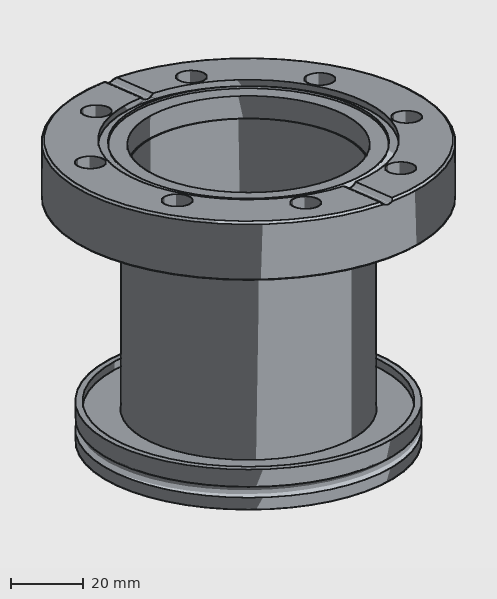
import cadquery as cq
import math

TOTAL_HEIGHT = 90.0
TUBE_OUTER_R = 70.0 / 2
TUBE_INNER_R = 66.0 / 2
SOCKET_R = 70.3 / 2

BOLT_FLANGE_R = 113.5 / 2
BOLT_FLANGE_THICKNESS = 17.5
BOLT_FLANGE_BORE_R = 66.5 / 2
TOP_CHAMFER = 0.7
BOTTOM_CHAMFER = 0.3
RECESS_R = 82.5 / 2
KNIFE_R = 77.2 / 2
KNIFE_DEPTH = 0.8
KNIFE_ANGLE = 22
SEAT_R = 76.8 / 2
SEAT_DEPTH = 1.4
LEDGE_THICKNESS = 6.7
BOLT_COUNT = 8
BOLT_CIRCLE_R = 92.2 / 2
BOLT_HOLE_D = 8.5
LEAK_GROOVE_WIDTH = 4.3
LEAK_GROOVE_DEPTH = 1.1

CLAMP_FLANGE_R = 95.0 / 2
CLAMP_FLANGE_THICKNESS = 12.0
CLAMP_RECESS_R = 91.0 / 2
CLAMP_RECESS_DEPTH = 2.5
CLAMP_GROOVE_Z = 5.2
CLAMP_GROOVE_R = 1.6

BOLT_FLANGE_BOTTOM = TOTAL_HEIGHT - BOLT_FLANGE_THICKNESS
SEAT_Z = TOTAL_HEIGHT - SEAT_DEPTH
KNIFE_Z = TOTAL_HEIGHT - KNIFE_DEPTH
RECESS_Z = KNIFE_Z - (RECESS_R - KNIFE_R) * math.tan(math.radians(KNIFE_ANGLE))
TUBE_TOP = SEAT_Z - LEDGE_THICKNESS


def revolve_profile(profile):
    """Turn a closed radius-height outline on the XZ plane about the Z axis."""
    return profile.close().revolve(360, (0, 0, 0), (0, 1, 0))


def bolt_holes():
    return (
        cq.Workplane("XY")
        .workplane(offset=BOLT_FLANGE_BOTTOM)
        .polarArray(BOLT_CIRCLE_R, 180 / BOLT_COUNT, 360, BOLT_COUNT)
        .circle(BOLT_HOLE_D / 2)
        .extrude(BOLT_FLANGE_THICKNESS)
    )


def leak_grooves():
    """Round-bottomed channel along X, cut across both sides of the top face."""
    arc_r = (LEAK_GROOVE_WIDTH ** 2 / 4 + LEAK_GROOVE_DEPTH ** 2) / (2 * LEAK_GROOVE_DEPTH)
    axis_z = TOTAL_HEIGHT - LEAK_GROOVE_DEPTH + arc_r
    channel = (
        cq.Workplane("YZ")
        .center(0, axis_z)
        .circle(arc_r)
        .extrude(BOLT_FLANGE_R, both=True)
    )
    recess_zone = cq.Workplane("XY").circle(RECESS_R).extrude(axis_z + arc_r)
    return channel.cut(recess_zone)


def make_bolt_flange():
    """Upper flange with a sealing edge, bolt holes and a socket for the tube."""
    body = revolve_profile(
        cq.Workplane("XZ")
        .moveTo(SOCKET_R, BOLT_FLANGE_BOTTOM)
        .lineTo(BOLT_FLANGE_R - BOTTOM_CHAMFER, BOLT_FLANGE_BOTTOM)
        .lineTo(BOLT_FLANGE_R, BOLT_FLANGE_BOTTOM + BOTTOM_CHAMFER)
        .lineTo(BOLT_FLANGE_R, TOTAL_HEIGHT - TOP_CHAMFER)
        .lineTo(BOLT_FLANGE_R - TOP_CHAMFER, TOTAL_HEIGHT)
        .lineTo(RECESS_R, TOTAL_HEIGHT)
        .lineTo(RECESS_R, RECESS_Z)
        .lineTo(KNIFE_R, KNIFE_Z)
        .lineTo(SEAT_R, SEAT_Z)
        .lineTo(BOLT_FLANGE_BORE_R, SEAT_Z)
        .lineTo(BOLT_FLANGE_BORE_R, TUBE_TOP)
        .lineTo(SOCKET_R, TUBE_TOP)
    )
    return body.cut(bolt_holes()).cut(leak_grooves())


def make_tube():
    """Plain tube from the bottom face up to the ledge in the bolted flange."""
    return cq.Workplane("XY").circle(TUBE_OUTER_R).circle(TUBE_INNER_R).extrude(TUBE_TOP)


def make_clamp_flange():
    """Lower flange with a half-round rim groove and a shallow recess on top."""
    floor_z = CLAMP_FLANGE_THICKNESS - CLAMP_RECESS_DEPTH
    return revolve_profile(
        cq.Workplane("XZ")
        .moveTo(SOCKET_R, 0)
        .lineTo(CLAMP_FLANGE_R, 0)
        .lineTo(CLAMP_FLANGE_R, CLAMP_GROOVE_Z - CLAMP_GROOVE_R)
        .threePointArc(
            (CLAMP_FLANGE_R - CLAMP_GROOVE_R, CLAMP_GROOVE_Z),
            (CLAMP_FLANGE_R, CLAMP_GROOVE_Z + CLAMP_GROOVE_R),
        )
        .lineTo(CLAMP_FLANGE_R, CLAMP_FLANGE_THICKNESS)
        .lineTo(CLAMP_RECESS_R, CLAMP_FLANGE_THICKNESS)
        .lineTo(CLAMP_RECESS_R, floor_z)
        .lineTo(SOCKET_R, floor_z)
    )


bolt_flange = make_bolt_flange()
tube = make_tube()
clamp_flange = make_clamp_flange()

result = cq.Compound.makeCompound([bolt_flange.val(), tube.val(), clamp_flange.val()])